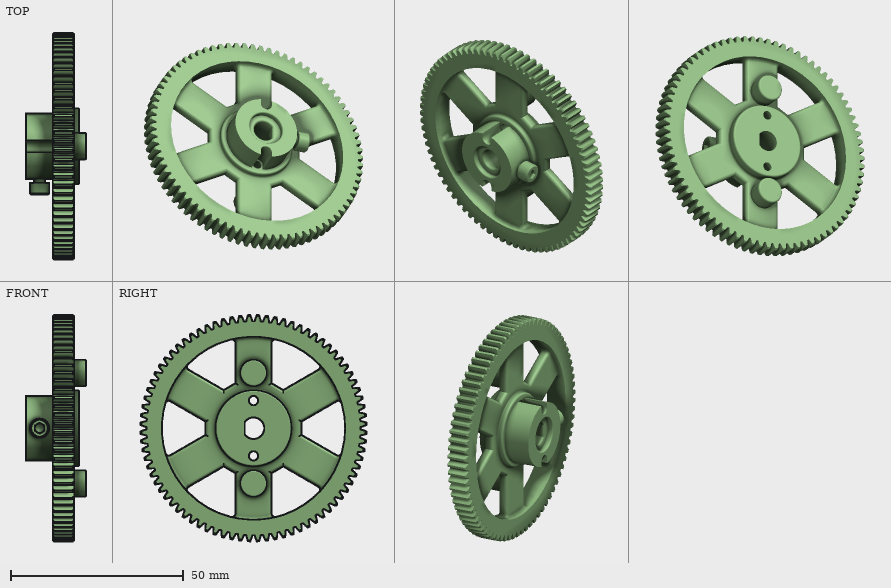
import cadquery as cq
import math


overall_size = 65.6
tooth_count = 80
pressure_angle = math.radians(20)
rim_width = 6.15
rim_bore_radius = 26.5
tip_chamfer = 0.4

web_thickness = 3.0
web_start = 1.6
spoke_count = 6
spoke_width = 10.55
web_hub_apothem = 13.9
web_fillet = 1.0

hub_length = 7.8
hub_radius = 9.5
shoulder_radius = 11.0
shoulder_front = 0.0
shoulder_back = rim_width + 1.5
shoulder_fillet = 0.5

bore_radius = 3.1
bore_flat_distance = 2.5
bore_fillet = 0.5
counterbore_radius = 5.0
counterbore_depth = 1.65
counterbore_fillet = 0.45

hole_radius = 1.3
hole_distance = 8.0
groove_width = 3.4

post_radius = 3.9
post_distance = 16.0
post_length = 3.55
post_fillet = 0.5

screw_x = 4.0 - hub_length
shank_radius = 1.65
shank_fillet = 0.25
shank_tip = bore_flat_distance
head_radius = 2.8
head_base = 10.6
head_height = 3.4
head_chamfer = 0.4
socket_flats = 2.75
socket_depth = 1.7
socket_cone_depth = 0.65


def involute(angle):
    """Involute function: the polar angle of an involute at the given pressure angle."""
    return math.tan(angle) - angle


tooth_pitch = 2 * math.pi / tooth_count
tip_pressure_angle = math.acos(math.cos(pressure_angle) * tooth_count / (tooth_count + 2))
tip_half_angle = tooth_pitch / 4 + involute(pressure_angle) - involute(tip_pressure_angle)
outer_radius = overall_size / 2 / math.cos(tooth_pitch / 2 - tip_half_angle)
module = 2 * outer_radius / (tooth_count + 2)
pitch_radius = module * tooth_count / 2
root_radius = pitch_radius - 1.25 * module
base_radius = pitch_radius * math.cos(pressure_angle)


def disc(radius, x_start, x_end):
    """Cylinder about the X axis between two X positions."""
    return cq.Workplane("YZ", origin=(x_start, 0, 0)).circle(radius).extrude(x_end - x_start)


def polar(radius, angle):
    return (radius * math.cos(angle), radius * math.sin(angle))


def half_tooth_angle(radius):
    """Half of the angle that a tooth fills at the given radius."""
    return tooth_pitch / 4 + involute(pressure_angle) - involute(math.acos(base_radius / radius))


def make_toothed_rim():
    root_half = half_tooth_angle(root_radius)
    pitch_half = half_tooth_angle(pitch_radius)
    tip_half = tip_half_angle
    outline = cq.Workplane("YZ").moveTo(*polar(root_radius, tooth_pitch / 2 - root_half))
    for tooth in range(tooth_count):
        middle = (tooth + 0.5) * tooth_pitch
        next_start = middle + tooth_pitch - root_half
        outline = (
            outline.threePointArc(polar(pitch_radius, middle - pitch_half), polar(outer_radius, middle - tip_half))
            .threePointArc(polar(outer_radius, middle), polar(outer_radius, middle + tip_half))
            .threePointArc(polar(pitch_radius, middle + pitch_half), polar(root_radius, middle + root_half))
            .threePointArc(polar(root_radius, middle + tooth_pitch / 2), polar(root_radius, next_start))
        )
    blank = disc(outer_radius, 0, rim_width).edges().chamfer(tip_chamfer)
    return outline.close().extrude(rim_width).intersect(blank)


def make_web():
    """Hexagonal middle plate with radial spokes, rounded along both faces."""
    plane = cq.Workplane("YZ", origin=(web_start, 0, 0))
    web = plane.polygon(spoke_count, 2 * web_hub_apothem, circumscribed=True).extrude(web_thickness)
    for spoke in range(spoke_count // 2):
        bar = plane.rect(spoke_width, 2 * root_radius).extrude(web_thickness)
        web = web.union(bar.rotate((0, 0, 0), (1, 0, 0), spoke * 360 / spoke_count))
    return web.faces("<X or >X").edges().fillet(web_fillet)


def is_web_joint(edge):
    """True for an edge where the web meets the bore of the rim."""
    points = edge.positions([0, 0.25, 0.5, 0.75, 1])
    on_bore = all(abs(math.hypot(p.y, p.z) - rim_bore_radius) < 0.005 for p in points)
    between_faces = 0 < edge.Center().x < rim_width
    return on_bore and between_faces and edge.Length() < 0.99 * rim_bore_radius


def make_spoked_rim():
    web = make_web().intersect(disc(rim_bore_radius + web_fillet, 0, rim_width))
    spoked_rim = make_toothed_rim().cut(disc(rim_bore_radius, 0, rim_width)).union(web)
    return spoked_rim.edges().filter(is_web_joint).fillet(web_fillet)


def make_shoulders():
    """Raised rings on both sides of the web, rounded at the foot and at the top."""
    web_end = web_start + web_thickness
    foot = shoulder_radius + shoulder_fillet
    profile = (
        cq.Workplane("XY")
        .moveTo(shoulder_front, 0)
        .lineTo(shoulder_front, shoulder_radius - shoulder_fillet)
        .radiusArc((shoulder_front + shoulder_fillet, shoulder_radius), shoulder_fillet)
        .lineTo(web_start - shoulder_fillet, shoulder_radius)
        .radiusArc((web_start, foot), -shoulder_fillet)
        .lineTo(web_end, foot)
        .radiusArc((web_end + shoulder_fillet, shoulder_radius), -shoulder_fillet)
        .lineTo(shoulder_back - shoulder_fillet, shoulder_radius)
        .radiusArc((shoulder_back, shoulder_radius - shoulder_fillet), shoulder_fillet)
        .lineTo(shoulder_back, 0)
        .close()
    )
    return profile.revolve(360, (0, 0, 0), (1, 0, 0))


def make_hub():
    """Hub cylinder with a round-bottomed groove above and below."""
    hub = disc(hub_radius, -hub_length, shoulder_front)
    for side in (1, -1):
        groove = (
            cq.Workplane("YZ", origin=(-hub_length, 0, 0))
            .center(0, side * (hole_distance + hub_radius / 2))
            .rect(groove_width, hub_radius)
            .extrude(hub_length + shoulder_front)
        )
        bottom = disc(groove_width / 2, -hub_length, shoulder_front).translate((0, 0, side * hole_distance))
        hub = hub.cut(groove).cut(bottom)
    return hub


def make_posts():
    start = web_start + web_thickness
    post = disc(post_radius, start, rim_width + post_length).faces(">X").edges().fillet(post_fillet)
    return [post.translate((0, 0, side * post_distance)) for side in (1, -1)]


def edges_in_square(x, half_side):
    """Selector for the edges around the gear axis that lie in the plane at X = x."""
    reach = half_side + 0.05
    slack = 0.05
    return cq.selectors.BoxSelector((x - slack, -reach, -reach), (x + slack, reach, reach), boundingbox=True)


def cut_bore(wheel):
    """Cut the counterbored shaft hole with its flat, and round both of its mouths on the hub side."""
    bore_start = counterbore_depth - hub_length
    half_chord = math.sqrt(bore_radius**2 - bore_flat_distance**2)
    bore = (
        cq.Workplane("YZ", origin=(bore_start, 0, 0))
        .moveTo(-bore_flat_distance, half_chord)
        .threePointArc((bore_radius, 0), (-bore_flat_distance, -half_chord))
        .close()
        .extrude(shoulder_back - bore_start)
    )
    wheel = wheel.cut(disc(counterbore_radius, -hub_length, bore_start)).cut(bore)
    counterbore_mouth = edges_in_square(-hub_length, counterbore_radius)
    bore_mouth = edges_in_square(bore_start, bore_radius)
    wheel = wheel.edges(counterbore_mouth).fillet(counterbore_fillet)
    return wheel.edges(bore_mouth).fillet(bore_fillet)


def rod_along_y(radius, inner, outer):
    """Cylinder on the screw axis between two distances from the gear axis, towards -Y."""
    return cq.Workplane("XZ", origin=(screw_x, -inner, 0)).circle(radius).extrude(outer - inner)


def make_wheel():
    wheel = make_spoked_rim().union(make_shoulders()).union(make_hub())
    for post in make_posts():
        wheel = wheel.union(post)
    wheel = cut_bore(wheel)
    for side in (1, -1):
        hole = disc(hole_radius, -hub_length, shoulder_back)
        wheel = wheel.cut(hole.translate((0, 0, side * hole_distance)))
    return wheel.cut(rod_along_y(shank_radius, 0, head_base))


def make_screw():
    """Socket head screw that ends at the flat of the bore."""
    head_top = head_base + head_height
    shank = rod_along_y(shank_radius, shank_tip, head_base)
    head = rod_along_y(head_radius, head_base, head_top).faces("<Y").chamfer(head_chamfer)
    neck_edge = cq.selectors.RadiusNthSelector(0)
    screw = shank.union(head).faces(">Y[1]").edges(neck_edge).fillet(shank_fillet)

    floor = head_top - socket_depth
    socket = (
        cq.Workplane("XZ", origin=(screw_x, -floor, 0))
        .polygon(6, socket_flats, circumscribed=True)
        .extrude(socket_depth)
    )
    tip = cq.Vector(screw_x, socket_cone_depth - floor, 0)
    cone = cq.Solid.makeCone(0, socket_flats / 2, socket_cone_depth, tip, cq.Vector(0, -1, 0))
    return screw.cut(socket).cut(cq.Workplane(cone))


wheel = make_wheel()
screw = make_screw()
result = cq.Compound.makeCompound([wheel.val(), screw.val()])